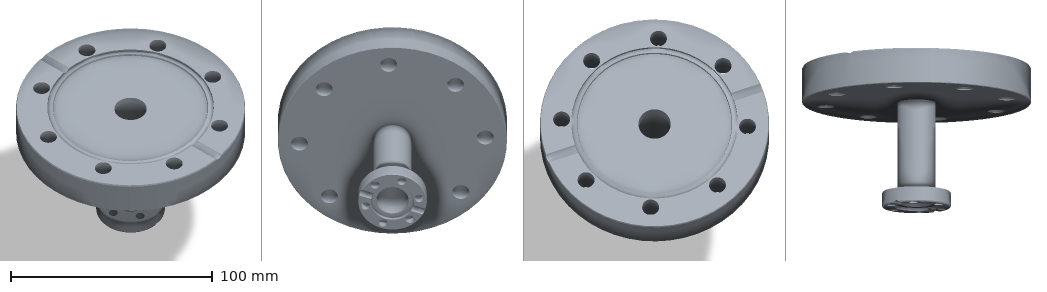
import cadquery as cq

total_height = 70.0
bore_radius = 16.0 / 2
tube_radius = 19.0 / 2

large_radius = 113.5 / 2
large_thickness = 17.5
large_bolt_count = 8
large_bolt_circle_radius = 46.1
large_bolt_hole_diameter = 8.4
large_top_chamfer_height = 0.7
large_bottom_chamfer_height = 0.3

recess_radius = 82.5 / 2
recess_depth = 1.4
knife_radius = 77.0 / 2
knife_tip_depth = 0.5
floor_radius = knife_radius - 0.2
floor_depth = 1.4

tube_top_depth = 4.5

small_radius = 34 / 2
small_thickness = 7.5
small_bolt_count = 6
small_bolt_circle_radius = 13.5
small_bolt_hole_diameter = 4.4
small_top_chamfer_height = 0.5
small_bottom_chamfer_height = 0.6
small_recess_radius = 21.3 / 2
small_recess_depth = 1.6

chamfer_width = 0.3

large_groove_width = 4.5
small_groove_width = 3.6
groove_depth = 1.0

bottom_z = -total_height
tube_bottom_z = bottom_z + small_recess_depth


def revolve_profile(points):
    """Revolve a closed (radius, z) polygon about the Z axis."""
    return cq.Workplane("XZ").polyline(points).close().revolve(360, (0, 0), (0, 1))


def flange_blank(radius, bottom, thickness, top_chamfer_height, bottom_chamfer_height):
    """Disc with a conical chamfer round its top and bottom rims."""
    top = bottom + thickness
    return revolve_profile([
        (0, bottom),
        (radius - chamfer_width, bottom),
        (radius, bottom + bottom_chamfer_height),
        (radius, top - top_chamfer_height),
        (radius - chamfer_width, top),
        (0, top),
    ])


def bolt_holes(count, circle_radius, diameter, bottom, height):
    """Cylinders on a bolt circle that straddles the X axis."""
    half_pitch = 180 / count
    return (
        cq.Workplane("XY", origin=(0, 0, bottom))
        .polarArray(circle_radius, half_pitch, 360, count)
        .circle(diameter / 2)
        .extrude(height)
    )


def groove(width, face_z, outward, flange_radius):
    """Cylinder along X cutting a shallow groove; outward is the face normal's Z sign."""
    arc_radius = ((width / 2) ** 2 + groove_depth**2) / (2 * groove_depth)
    center_z = face_z + outward * (arc_radius - groove_depth)
    return (
        cq.Workplane("YZ", origin=(-flange_radius, 0, 0))
        .center(0, center_z)
        .circle(arc_radius)
        .extrude(2 * flange_radius)
    )


def make_large_flange():
    body = flange_blank(
        large_radius, -large_thickness, large_thickness,
        large_top_chamfer_height, large_bottom_chamfer_height,
    )

    recess_core = cq.Workplane("XY").circle(recess_radius).extrude(-large_thickness)
    body = body.cut(groove(large_groove_width, 0, 1, large_radius).cut(recess_core))

    seal_recess = revolve_profile([
        (0, 0),
        (recess_radius, 0),
        (recess_radius, -recess_depth),
        (knife_radius, -knife_tip_depth),
        (floor_radius, -floor_depth),
        (0, -floor_depth),
    ])
    body = body.cut(seal_recess)

    stepped_bore = revolve_profile([
        (0, 0),
        (bore_radius, 0),
        (bore_radius, -tube_top_depth),
        (tube_radius, -tube_top_depth),
        (tube_radius, -large_thickness),
        (0, -large_thickness),
    ])
    body = body.cut(stepped_bore)
    return body.cut(bolt_holes(
        large_bolt_count, large_bolt_circle_radius, large_bolt_hole_diameter,
        -large_thickness, large_thickness,
    ))


def make_tube():
    return (
        cq.Workplane("XY", origin=(0, 0, tube_bottom_z))
        .circle(tube_radius)
        .circle(bore_radius)
        .extrude(-tube_top_depth - tube_bottom_z)
    )


def make_small_flange():
    body = flange_blank(
        small_radius, bottom_z, small_thickness,
        small_top_chamfer_height, small_bottom_chamfer_height,
    )

    small_top_z = bottom_z + small_thickness
    stepped_hole = revolve_profile([
        (0, bottom_z),
        (small_recess_radius, bottom_z),
        (small_recess_radius, tube_bottom_z),
        (tube_radius, tube_bottom_z),
        (tube_radius, small_top_z),
        (0, small_top_z),
    ])
    body = body.cut(stepped_hole)
    body = body.cut(groove(small_groove_width, bottom_z, -1, small_radius))
    return body.cut(bolt_holes(
        small_bolt_count, small_bolt_circle_radius, small_bolt_hole_diameter,
        bottom_z, small_thickness,
    ))


large_flange = make_large_flange()
tube = make_tube()
small_flange = make_small_flange()

result = cq.Compound.makeCompound([
    large_flange.solids().val(),
    tube.solids().val(),
    small_flange.solids().val(),
])